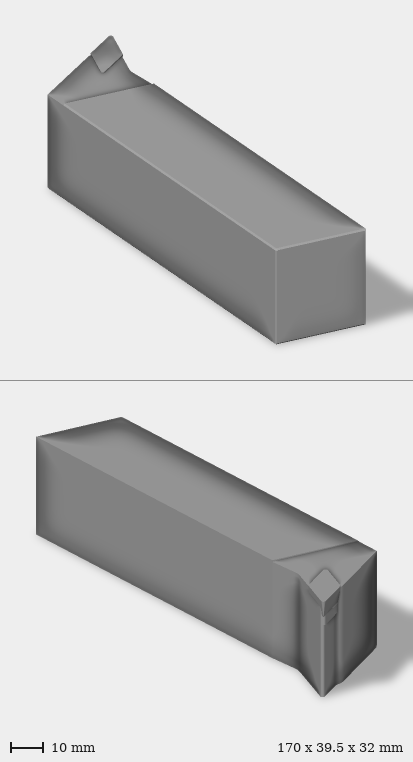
import cadquery as cq
import math

length = 170.0
tip_y = 39.5
shank_width = 32.0
shank_height = 32.0
shank_chamfer = 0.5

head_length = 39.1
head_drop = 0.5
neck_drop = 0.8
head_top = shank_height - head_drop
flank_corner_x = 29.4
relief_start_y = 25.2
relief_end_y = 29.8
neck_radius = 8.5

point_angle = 35.0
axis_angle = 35.0
inscribed_diameter = 9.5
nose_radius = 0.7
clearance_angle = 7.0
insert_thickness = 5.3
insert_bottom = shank_height - insert_thickness

ledge_height = 3.0
ledge_inset = 0.6
post_flank_inset = 0.94
post_back_inset = 0.3
post_nose_radius = 0.7

half_angle = math.radians(point_angle / 2)
inscribed_radius = inscribed_diameter / 2
nose_to_center = (inscribed_radius - nose_radius) / math.sin(half_angle)
axis = math.radians(axis_angle)
center_x = nose_radius + nose_to_center * math.cos(axis)
center_y = tip_y - nose_radius - nose_to_center * math.sin(axis)
back_slope = -math.tan(axis - half_angle)
flank_slope = -math.tan(axis + half_angle)


def rhombus_point(along, across):
    """Plan position from distances along the long diagonal (away from the tip) and across it."""
    x = center_x + along * math.cos(axis) + across * math.sin(axis)
    y = center_y - along * math.sin(axis) + across * math.cos(axis)
    return (x, y)


def rhombus_prism(inset, top, height, taper=0):
    """Nose-rounded rhombus, its sides moved in by inset, narrowing downward by the taper angle."""
    radius = inscribed_radius - inset
    half_long = radius / math.sin(half_angle)
    half_short = radius / math.cos(half_angle)
    trim = nose_radius / math.tan(half_angle)
    side_x = trim * math.cos(half_angle)
    side_y = trim * math.sin(half_angle)
    nose_end = half_long - nose_radius / math.sin(half_angle) + nose_radius
    outline = (
        cq.Workplane("XY", origin=(0, 0, top))
        .moveTo(*rhombus_point(side_x - half_long, side_y))
        .lineTo(*rhombus_point(0, half_short))
        .lineTo(*rhombus_point(half_long - side_x, side_y))
        .threePointArc(rhombus_point(nose_end, 0), rhombus_point(half_long - side_x, -side_y))
        .lineTo(*rhombus_point(0, -half_short))
        .lineTo(*rhombus_point(side_x - half_long, -side_y))
        .threePointArc(rhombus_point(-nose_end, 0), rhombus_point(side_x - half_long, side_y))
        .close()
    )
    return outline.extrude(-height, taper=taper)


def make_insert():
    return rhombus_prism(0, shank_height, insert_thickness, clearance_angle)


def make_shank():
    shank = cq.Workplane("XY").box(
        length - head_length, shank_width, shank_height, centered=False
    ).translate((head_length, 0, 0))
    shank = shank.edges("|X and <Y and >Z").chamfer(shank_chamfer)
    return shank.faces(">X").edges().chamfer(shank_chamfer)


def make_head():
    """Plan outline of the head: both sides beside the insert run parallel to its cutting sides."""
    flank_offset = inscribed_radius - post_flank_inset
    back_offset = inscribed_radius - post_back_inset
    along = -(flank_offset + back_offset) / (2 * math.sin(half_angle))
    across = (back_offset - flank_offset) / (2 * math.cos(half_angle))
    post_x, post_y = rhombus_point(along, across)

    head_width = shank_width - neck_drop
    neck_x = post_x + (head_width - post_y) / back_slope
    relief_start_x = flank_corner_x + relief_start_y / flank_slope
    relief_end_x = post_x + (relief_end_y - post_y) / flank_slope
    relief_middle = ((relief_start_x + relief_end_x) / 2, (relief_start_y + relief_end_y) / 2)
    outline = (
        cq.Workplane("XY")
        .moveTo(post_x, post_y)
        .lineTo(neck_x, head_width)
        .lineTo(head_length, shank_width)
        .lineTo(head_length, 0)
        .lineTo(flank_corner_x, 0)
        .lineTo(relief_start_x, relief_start_y)
        .tangentArcPoint(relief_middle, relative=False)
        .tangentArcPoint((relief_end_x, relief_end_y), relative=False)
        .close()
    )
    head = outline.extrude(head_top)
    neck_edge = cq.selectors.NearestToPointSelector((neck_x, head_width, head_top / 2))
    head = head.edges("|Z").edges(neck_edge).fillet(neck_radius)
    return head.edges("|Z and <X").fillet(post_nose_radius)


def make_bottom_chamfer():
    """Wedge that bevels the lower -Y edge of both the head and the shank."""
    triangle = [(0, 0), (shank_chamfer, 0), (0, shank_chamfer)]
    return cq.Workplane("YZ").polyline(triangle).close().extrude(length)


def make_holder(insert):
    holder = make_head().union(make_shank()).cut(make_bottom_chamfer())
    ledge = rhombus_prism(ledge_inset, insert_bottom, ledge_height)
    return holder.union(ledge).cut(insert)


insert = make_insert()
holder = make_holder(insert)
result = cq.Compound.makeCompound([holder.val(), insert.val()])